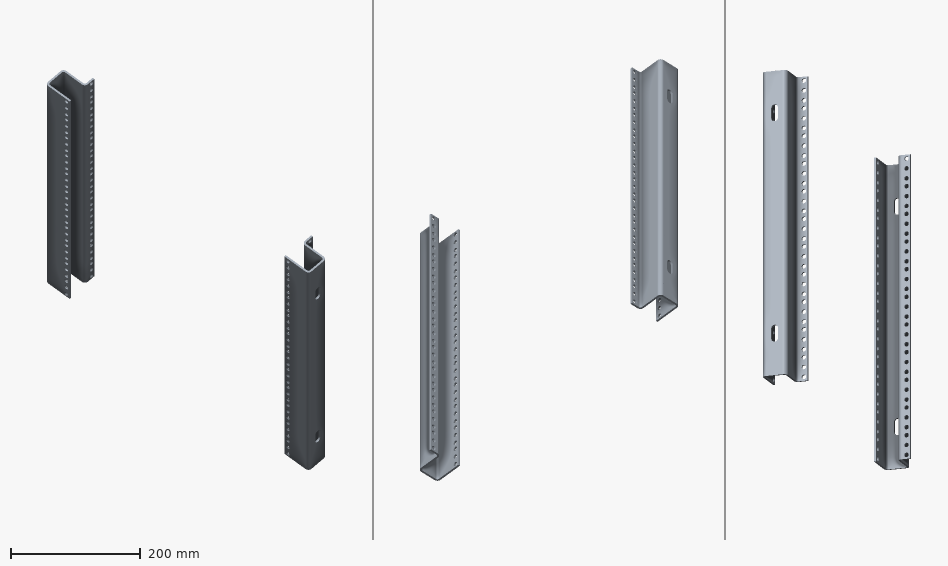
import cadquery as cq
import math

PAIR_WIDTH = 552.5
RAIL_DEPTH = 58.5
RAIL_HEIGHT = 489.0

SHEET = 3.5
BEND_INNER = 3.5
FRONT_WIDTH = 51.0
FLANGE_REACH = 48.5
BOX_DEPTH = 41.0

HOLE_DIAMETER = 7.0
RACK_UNITS = 11
UNIT_PITCH = RAIL_HEIGHT / RACK_UNITS
HOLE_SPACING_SHARE = 5 / 14
HOLE_SPACING = UNIT_PITCH * HOLE_SPACING_SHARE
HOLE_STEPS = (-HOLE_SPACING, 0, HOLE_SPACING)
FRONT_HOLE_INSET = 7.0
FLANGE_HOLE_INSET = 6.0

SLOT_WIDTH = 11.0
SLOT_LENGTH = 27.0
SLOT_END_OFFSET = 67.5
SLOT_Y = 21.0

HALF_WIDTH = PAIR_WIDTH / 2
FRONT_HOLE_X = FRONT_WIDTH - FRONT_HOLE_INSET - HALF_WIDTH
FLANGE_HOLE_Y = RAIL_DEPTH - FLANGE_HOLE_INSET


def hole_heights():
    """Heights of all mounting holes, symmetric about each rack unit's middle."""
    return [(unit + 0.5) * UNIT_PITCH + step for unit in range(RACK_UNITS) for step in HOLE_STEPS]


def bent_sheet():
    """Left rail blank: front plate, side wall, back plate and rear flange."""
    mid = SHEET / 2
    bend = BEND_INNER + mid
    left = mid - HALF_WIDTH
    front = mid
    back = BOX_DEPTH - mid
    flange = FLANGE_REACH - mid - HALF_WIDTH
    diagonal = bend * (1 - math.sqrt(0.5))
    path = (
        cq.Workplane("XY")
        .moveTo(FRONT_WIDTH - HALF_WIDTH, front)
        .lineTo(left + bend, front)
        .threePointArc((left + diagonal, front + diagonal), (left, front + bend))
        .lineTo(left, back - bend)
        .threePointArc((left + diagonal, back - diagonal), (left + bend, back))
        .lineTo(flange - bend, back)
        .threePointArc((flange - diagonal, back + diagonal), (flange, back + bend))
        .lineTo(flange, RAIL_DEPTH)
    )
    section = cq.Workplane("YZ", origin=(FRONT_WIDTH - HALF_WIDTH, front, 0))
    section = section.center(0, RAIL_HEIGHT / 2).rect(SHEET, RAIL_HEIGHT)
    return section.sweep(path)


def front_holes():
    """Cutters through the front plate only."""
    points = [(FRONT_HOLE_X, z) for z in hole_heights()]
    plane = cq.Workplane("XZ")
    return plane.pushPoints(points).circle(HOLE_DIAMETER / 2).extrude(-SHEET)


def flange_holes():
    """Cutters through the rear flange only."""
    points = [(FLANGE_HOLE_Y, z) for z in hole_heights()]
    plane = cq.Workplane("YZ", origin=(FLANGE_REACH - SHEET - HALF_WIDTH, 0, 0))
    return plane.pushPoints(points).circle(HOLE_DIAMETER / 2).extrude(SHEET)


def side_slots():
    """Cutters for the upright slots through the side wall."""
    points = [(SLOT_Y, SLOT_END_OFFSET), (SLOT_Y, RAIL_HEIGHT - SLOT_END_OFFSET)]
    plane = cq.Workplane("YZ", origin=(-HALF_WIDTH, 0, 0))
    return plane.pushPoints(points).slot2D(SLOT_LENGTH, SLOT_WIDTH, 90).extrude(SHEET)


def mounting_rail():
    """Complete left rail, with its outer side wall facing -X."""
    return bent_sheet().cut(front_holes()).cut(flange_holes()).cut(side_slots())


left_rail = mounting_rail()
rails = [left_rail, left_rail.mirror("YZ")]

result = cq.Compound.makeCompound([rail.val() for rail in rails])